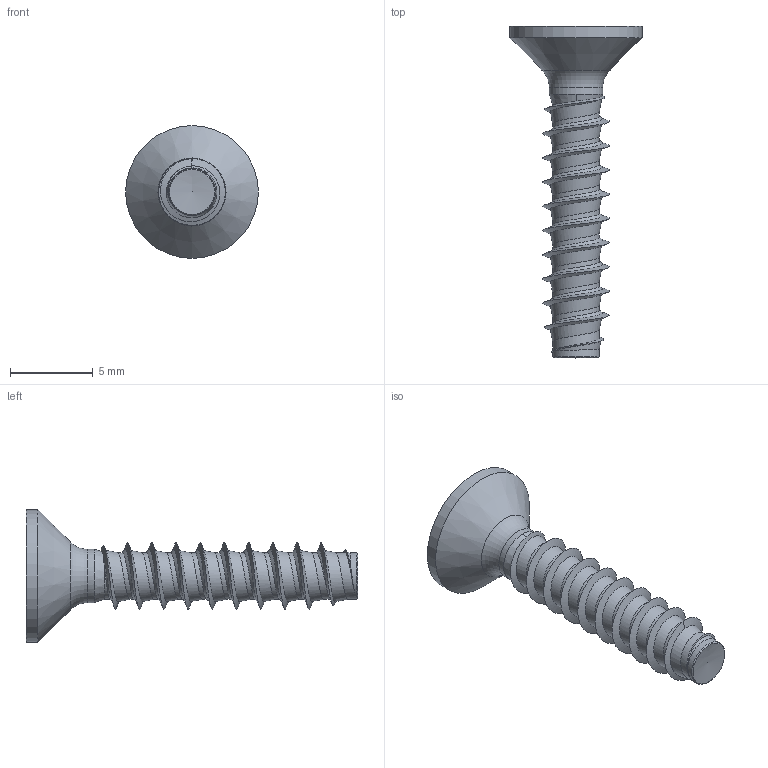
import cadquery as cq
import math


length = 20.0
head_radius = 4.0

rim_depth = 0.7
head_cone_angle = math.radians(45)
neck_radius = 1.61
neck_fillet = 1.5
neck_end = 4.1
neck_taper_length = 0.63

core_radius = 1.41
crest_radius = 2.01
pitch = 1.46
full_thread_start = 5.385
full_thread_turns = 8.5
full_thread_end = full_thread_start + full_thread_turns * pitch
full_thread_start_angle = -90
full_thread_end_angle = full_thread_start_angle + 360 * full_thread_turns
lead_in_turns = 1.0
lead_in_slope = 0.245
lead_out_turns = 1.5
lead_out_slope = 0.3

head_knee_distance = 0.14
head_knee_radius = 1.59
blade_tip_side_slope = 0.34
shoulder_radius = 1.57
shoulder_foot_distance = 0.86
shoulder_overrun_turns = 0.5
shoulder_lead_out_turns = 1.0
shoulder_lead_out_slope = 0.15
shoulder_buried_radius = 1.37
buried_radius = 1.2

tip_chamfer = 0.06
dimple_depth = 0.1


def revolved(outline):
    """Turn a closed outline of (radius, depth) points about the screw axis."""
    return outline.close().revolve(360, (0, 0, 0), (0, 1, 0))


def head_and_neck():
    cone_end_radius = neck_radius + neck_fillet * (1 - math.cos(head_cone_angle))
    cone_end = rim_depth + (head_radius - cone_end_radius) / math.tan(head_cone_angle)
    fillet_end = cone_end + neck_fillet * math.sin(head_cone_angle)
    fillet_middle = (
        neck_radius + neck_fillet * (1 - math.cos(head_cone_angle / 2)),
        fillet_end - neck_fillet * math.sin(head_cone_angle / 2),
    )
    taper_end = neck_end + neck_taper_length
    return revolved(
        cq.Workplane("YZ")
        .lineTo(head_radius, 0)
        .lineTo(head_radius, rim_depth)
        .lineTo(cone_end_radius, cone_end)
        .threePointArc(fillet_middle, (neck_radius, fillet_end))
        .lineTo(neck_radius, neck_end)
        .lineTo(core_radius, taper_end)
        .lineTo(0, taper_end)
    )


def shank_envelope():
    """Space the threaded shank may fill: below the neck, inside the chamfered, dimpled tip."""
    tip_radius = core_radius - tip_chamfer
    dimple_radius = (tip_radius**2 + dimple_depth**2) / (2 * dimple_depth)
    dimple_half_angle = math.asin(tip_radius / dimple_radius)
    dimple_middle = (
        dimple_radius * math.sin(dimple_half_angle / 2),
        length - dimple_depth + dimple_radius * (1 - math.cos(dimple_half_angle / 2)),
    )
    chamfer_start = length - tip_chamfer - (head_radius - core_radius)
    return revolved(
        cq.Workplane("YZ")
        .moveTo(0, neck_end)
        .lineTo(head_radius, neck_end)
        .lineTo(head_radius, chamfer_start)
        .lineTo(tip_radius, length)
        .threePointArc(dimple_middle, (0, length - dimple_depth))
    )


def crest_helix(turns, slope):
    if slope == 0:
        return cq.Wire.makeHelix(pitch, turns * pitch, crest_radius)
    cone_angle = math.atan(slope)
    slant_pitch = pitch / math.cos(cone_angle)
    return cq.Wire.makeHelix(
        slant_pitch, turns * slant_pitch, crest_radius, angle=-math.degrees(cone_angle)
    )


def swept(points, turns, slope=0.0):
    """Sweep a (radius, offset from crest) profile down a helix that starts on +X at depth 0."""
    profile = cq.Workplane("XZ").polyline(points).close()
    return profile.sweep(cq.Workplane(crest_helix(turns, slope)), isFrenet=True)


def placed(run, depth, angle):
    return run.rotate((0, 0, 0), (0, 0, 1), angle).translate((0, 0, depth))


def blade():
    """Sharp ridge of the thread, rising out of the shank near the neck and sinking in at the tip."""
    head_base = head_knee_distance + head_knee_radius - buried_radius
    tip_base = blade_tip_side_slope * (crest_radius - buried_radius)
    points = [
        (buried_radius, -head_base),
        (head_knee_radius, -head_knee_distance),
        (crest_radius, 0),
        (buried_radius, tip_base),
    ]
    upturned_points = [(radius, -offset) for radius, offset in points]
    lead_in = swept(upturned_points, lead_in_turns, lead_in_slope).rotate((0, 0, 0), (1, 0, 0), 180)
    full = swept(points, full_thread_turns)
    lead_out = swept(points, lead_out_turns, lead_out_slope)
    return (
        placed(full, full_thread_start, full_thread_start_angle)
        .union(placed(lead_in, full_thread_start, full_thread_start_angle))
        .union(placed(lead_out, full_thread_end, full_thread_end_angle))
    )


def core_with_shoulder():
    """Core rod and the taper that falls to it from the tip side of the blade."""
    taper_slope = (shoulder_radius - core_radius) / shoulder_foot_distance
    taper_end = (shoulder_radius - shoulder_buried_radius) / taper_slope
    points = [
        (buried_radius, 0),
        (shoulder_radius, 0),
        (shoulder_buried_radius, taper_end),
        (buried_radius, taper_end),
    ]
    turns = lead_in_turns + full_thread_turns + shoulder_overrun_turns
    start = full_thread_start - lead_in_turns * pitch
    start_angle = full_thread_start_angle - 360 * lead_in_turns
    full = swept(points, turns)
    lead_out = swept(points, shoulder_lead_out_turns, shoulder_lead_out_slope)
    return (
        cq.Workplane("XY")
        .circle(core_radius)
        .extrude(length)
        .union(placed(full, start, start_angle))
        .union(placed(lead_out, start + turns * pitch, start_angle + 360 * turns))
    )


shank = core_with_shoulder().union(blade()).intersect(shank_envelope())
screw = shank.union(head_and_neck())
result = screw.rotate((0, 0, 0), (1, 0, 0), 90)